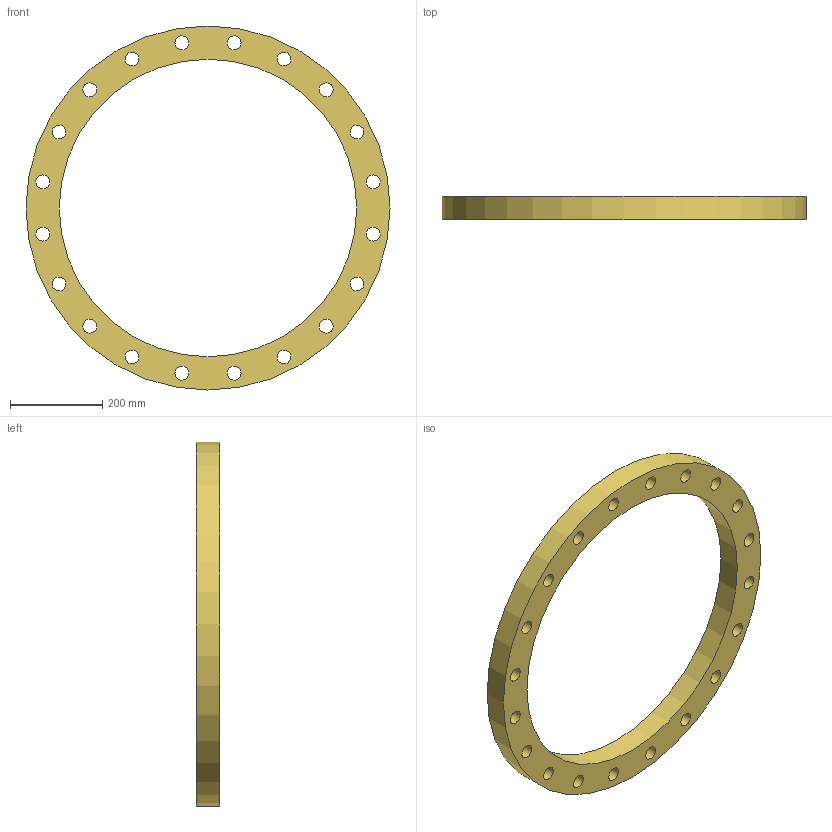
import cadquery as cq

outer_diameter = 789.0
bore_diameter = 645.0
thickness = 50.0

bolt_circle_diameter = 725.0
bolt_hole_diameter = 30.0
bolt_hole_count = 20
first_hole_angle = 360.0 / bolt_hole_count / 2


def face_plane():
    """Workplane on the -Y face of the flange, centred on its axis."""
    return cq.Workplane("XZ", origin=(0, -thickness / 2, 0))


def make_ring():
    """Plain ring, extruded from the -Y face toward +Y."""
    return (
        face_plane()
        .circle(outer_diameter / 2)
        .circle(bore_diameter / 2)
        .extrude(-thickness)
    )


def make_bolt_holes():
    """Cylinders that cut the evenly spaced through holes."""
    return (
        face_plane()
        .polarArray(bolt_circle_diameter / 2, first_hole_angle, 360, bolt_hole_count)
        .circle(bolt_hole_diameter / 2)
        .extrude(-thickness)
    )


result = make_ring().cut(make_bolt_holes())